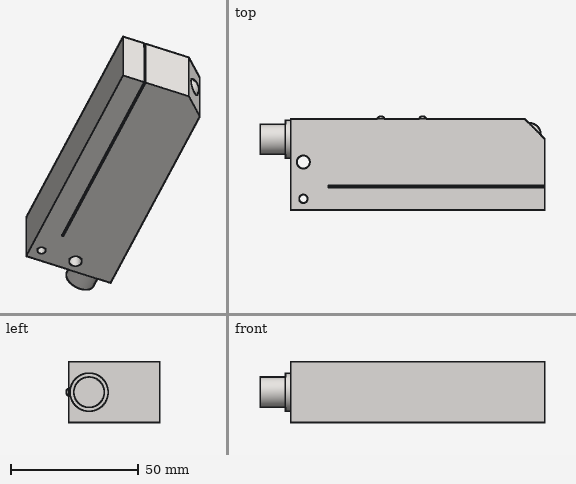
import cadquery as cq

overall_length = 112.0
connector_reach = 12.0
body_width = 36.0
body_height = 24.0
body_left = connector_reach
mid_height = body_height / 2
corner_cut = 8.0

connector_diameter = 12.0
flange_diameter = 15.0
flange_thickness = 2.0
connector_y = 27.9

hole_inset = 5.0
hole_x = body_left + hole_inset
large_hole_diameter = 5.0
large_hole_y = 18.9
small_hole_diameter = 3.2
small_hole_y = 4.5

slot_inset = 15.0
slot_start = body_left + slot_inset
slot_width = 0.7
slot_center_y = 9.3

button_diameter = 2.9
button_height = 1.0
button_positions = (47.5, 64.0)

lens_diameter = 7.0
lens_height = 1.5


def make_body():
    return (
        cq.Workplane("XY")
        .moveTo(body_left, 0)
        .lineTo(overall_length, 0)
        .lineTo(overall_length, body_width - corner_cut)
        .lineTo(overall_length - corner_cut, body_width)
        .lineTo(body_left, body_width)
        .close()
        .extrude(body_height)
    )


def make_connector():
    face = cq.Workplane("YZ").center(connector_y, mid_height)
    plug = face.circle(connector_diameter / 2).extrude(body_left)
    flange = (
        face.workplane(offset=body_left - flange_thickness)
        .circle(flange_diameter / 2)
        .extrude(flange_thickness)
    )
    return plug.union(flange)


def make_dome(center, outward, diameter, height):
    """Spherical cap standing on a plane at center, bulging along outward."""
    plane = cq.Plane(origin=center, xDir=(0, 0, 1), normal=outward)
    radius = diameter / 2
    sphere_radius = (radius**2 + height**2) / (2 * height)
    ball = cq.Workplane(plane).workplane(offset=height - sphere_radius).sphere(sphere_radius)
    envelope = cq.Workplane(plane).circle(sphere_radius).extrude(height)
    return ball.intersect(envelope)


def make_hole(y, diameter):
    return cq.Workplane("XY").center(hole_x, y).circle(diameter / 2).extrude(body_height)


def make_slot():
    slot_length = overall_length - slot_start
    return (
        cq.Workplane("XY")
        .center(slot_start + slot_length / 2, slot_center_y)
        .rect(slot_length, slot_width)
        .extrude(body_height)
    )


result = make_body().union(make_connector())

for button_x in button_positions:
    button_base = (button_x, body_width, mid_height)
    result = result.union(make_dome(button_base, (0, 1, 0), button_diameter, button_height))

lens_base = (overall_length - corner_cut / 2, body_width - corner_cut / 2, mid_height)
result = result.union(make_dome(lens_base, (1, 1, 0), lens_diameter, lens_height))

result = result.cut(make_hole(large_hole_y, large_hole_diameter))
result = result.cut(make_hole(small_hole_y, small_hole_diameter))
result = result.cut(make_slot())